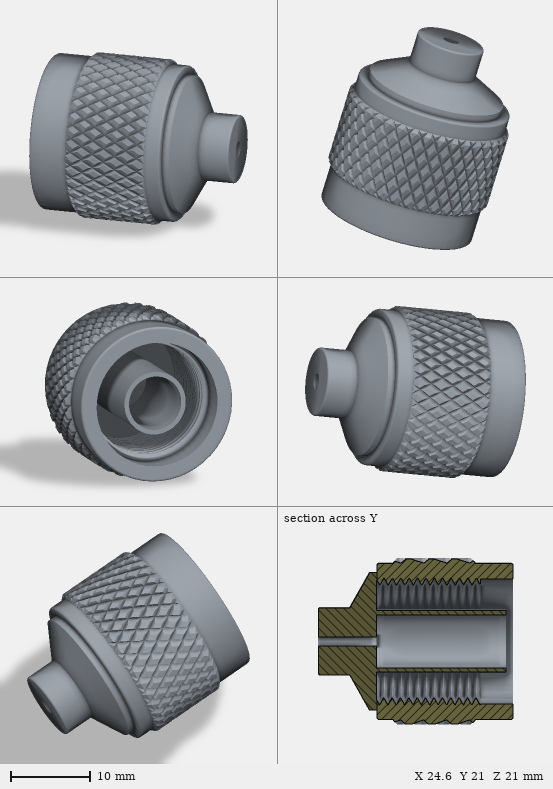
import cadquery as cq
import math


LENGTH = 24.65
FRONT = -LENGTH / 2
ORIGIN = cq.Vector(0, 0, 0)
AXIS = cq.Vector(1, 0, 0)

NUT_LENGTH = 17.25
NUT_RADIUS = 9.93
NUT_EDGE_FILLET = 0.3
BORE_RADIUS = 7.93
NUT_REAR = FRONT + NUT_LENGTH

THREAD_START = FRONT + 4.11
THREAD_PITCH = 1.05
THREAD_CREST_RADIUS = 7.2
THREAD_ROOT_RADIUS = 8.05
THREAD_CREST_WIDTH = 0.1
THREAD_TURN = 253.0
THREAD_OVERRUN = 0.25
FLANK_POINTS = 12

KNURL_START = FRONT + 4.78
KNURL_LENGTH = 10.4
KNURL_END = KNURL_START + KNURL_LENGTH
KNURL_RADIUS = 10.5
KNURL_CHAMFER = 0.52
GROOVE_COUNT = 36
GROOVE_PITCH = 360 / GROOVE_COUNT
GROOVE_ADVANCE = 2.9
KNURL_TWIST = GROOVE_PITCH * KNURL_LENGTH / GROOVE_ADVANCE
LEANING_OPENING = 5.2
SYMMETRIC_OPENING = 4.1
DIAMOND_TURN = 183.8
DIAMOND_OFFSET = 2.51
GROOVE_ROOT_RADIUS = NUT_RADIUS + 0.02
RIDGE_INNER_RADIUS = NUT_RADIUS - 0.25
RECESS_RADIUS = NUT_RADIUS - 0.12
BAND_MARGIN = 0.25
GROOVE_MARGIN = 0.37

FLANGE_RADIUS = 8.77
FLANGE_REAR = FRONT + 18.15
TAIL_START = FRONT + 20.67
TAIL_RADIUS = 4.34
TAIL_FILLET = 0.25
TUBE_FRONT = FRONT + 0.9
TUBE_RADIUS = 4.02
TUBE_BORE_RADIUS = 3.42
CENTRE_HOLE_RADIUS = 1.0


def revolved(profile):
    """Solid of revolution about X; the profile lists (x, radius) points."""
    return cq.Workplane("XZ").polyline(profile).close().revolve(360, (0, 0, 0), (1, 0, 0))


def outer_rim(solid, end):
    """The largest circular edge of one end face."""
    return solid.faces(end).edges(cq.selectors.RadiusNthSelector(-1))


def polar_point(radius, angle):
    """Point of a plane across X, with the angle in degrees from +Y."""
    direction = math.radians(angle)
    return (radius * math.cos(direction), radius * math.sin(direction))


def thread_cutter():
    """Threaded bar: its section has two spiral flanks that meet at the root, and a crest arc."""
    root_to_crest = 180 * (1 - THREAD_CREST_WIDTH / THREAD_PITCH)
    depth = THREAD_ROOT_RADIUS - THREAD_CREST_RADIUS

    def flank_point(step):
        fraction = step / FLANK_POINTS
        radius = THREAD_ROOT_RADIUS - depth * abs(fraction)
        return polar_point(radius, THREAD_TURN + root_to_crest * fraction)

    rising = [flank_point(step) for step in range(-FLANK_POINTS, 1)]
    falling = [flank_point(step) for step in range(FLANK_POINTS + 1)]
    crest_middle = polar_point(THREAD_CREST_RADIUS, THREAD_TURN + 180)
    length = NUT_REAR - THREAD_START + THREAD_OVERRUN
    return (
        cq.Workplane("YZ", origin=(THREAD_START, 0, 0))
        .spline(rising)
        .spline(falling)
        .threePointArc(crest_middle, rising[0])
        .close()
        .twistExtrude(length, 360 * length / THREAD_PITCH)
    )


def threaded_sleeve():
    """The nut with a shallow recess in place of its knurl."""
    sleeve = revolved([
        (FRONT, BORE_RADIUS),
        (FRONT, NUT_RADIUS),
        (KNURL_START, NUT_RADIUS),
        (KNURL_START, RECESS_RADIUS),
        (KNURL_END, RECESS_RADIUS),
        (KNURL_END, NUT_RADIUS),
        (NUT_REAR, NUT_RADIUS),
        (NUT_REAR, 0),
        (THREAD_START, 0),
        (THREAD_START, BORE_RADIUS),
    ])
    sleeve = outer_rim(sleeve, "<X").fillet(NUT_EDGE_FILLET)
    sleeve = outer_rim(sleeve, ">X").fillet(NUT_EDGE_FILLET)
    return sleeve.cut(thread_cutter()).val()


def twisted(section, turn, hand):
    """Twisted bar along the knurl; the section lists (radius, angle) points.

    A bar with no turn passes through the centre of the reference diamond.
    """
    start_turn = DIAMOND_TURN + turn - hand * GROOVE_PITCH * DIAMOND_OFFSET / GROOVE_ADVANCE
    points = [polar_point(radius, start_turn + angle) for radius, angle in section]
    plane = cq.Workplane("YZ", origin=(KNURL_START, 0, 0))
    return plane.polyline(points).close().twistExtrude(KNURL_LENGTH, hand * KNURL_TWIST)


def extended(flank_angle, radius):
    """Angle of a flank, which is zero at the groove root, continued to a given radius."""
    return flank_angle * (radius - GROOVE_ROOT_RADIUS) / (KNURL_RADIUS - GROOVE_ROOT_RADIUS)


def untrimmed_ridge():
    """Bar of one groove pitch, left standing between two leaning grooves.

    One flank is radial; the other slopes down to the root of the next groove.
    """
    half_pitch = GROOVE_PITCH / 2
    half_land = half_pitch - LEANING_OPENING / 2
    next_root = GROOVE_PITCH - half_land
    top_radius = KNURL_RADIUS + BAND_MARGIN
    section = [
        (RIDGE_INNER_RADIUS, -half_pitch),
        (GROOVE_ROOT_RADIUS, -half_land),
        (top_radius, -half_land),
        (top_radius, next_root - extended(LEANING_OPENING, top_radius)),
        (GROOVE_ROOT_RADIUS, next_root),
        (RIDGE_INNER_RADIUS, half_pitch),
    ]
    return twisted(section, 0, 1)


def crossing_groove(index):
    """One left-hand groove with equal flanks."""
    top_radius = KNURL_RADIUS + GROOVE_MARGIN
    half_top = extended(SYMMETRIC_OPENING / 2, top_radius)
    section = [(GROOVE_ROOT_RADIUS, 0), (top_radius, half_top), (top_radius, -half_top)]
    return twisted(section, (index + 0.5) * GROOVE_PITCH, -1)


def band_envelope():
    """Chamfered ring that bounds the knurl."""
    return revolved([
        (KNURL_START, NUT_RADIUS),
        (KNURL_START, KNURL_RADIUS - KNURL_CHAMFER),
        (KNURL_START + KNURL_CHAMFER, KNURL_RADIUS),
        (KNURL_END - KNURL_CHAMFER, KNURL_RADIUS),
        (KNURL_END, KNURL_RADIUS - KNURL_CHAMFER),
        (KNURL_END, NUT_RADIUS),
    ])


def knurl_ridge():
    """A ridge cut into diamonds by every groove that crosses it."""
    ridge = untrimmed_ridge()
    front_crossings = math.ceil(2 * DIAMOND_OFFSET / GROOVE_ADVANCE) + 1
    rear_crossings = math.ceil(2 * (KNURL_LENGTH - DIAMOND_OFFSET) / GROOVE_ADVANCE) + 1
    for index in range(-front_crossings, rear_crossings):
        ridge = ridge.cut(crossing_groove(index))
    return ridge.intersect(band_envelope()).val()


def is_full_length(face):
    return face.BoundingBox().xlen > 0.99 * KNURL_LENGTH


def knurl_skin():
    """Outer and end faces of all ridges, without the sides that neighbours share."""
    faces = [face for face in knurl_ridge().Faces() if not is_full_length(face)]
    return [
        face.rotate(ORIGIN, AXIS, index * GROOVE_PITCH)
        for index in range(GROOVE_COUNT)
        for face in faces
    ]


def sleeve_skin():
    """Faces of the sleeve without the floor and the two walls of its recess."""
    margin = 0.02

    def in_recess(face):
        box = face.BoundingBox()
        return (
            box.zmax > RECESS_RADIUS - margin
            and box.xmin > KNURL_START - margin
            and box.xmax < KNURL_END + margin
        )

    return [face for face in threaded_sleeve().Faces() if not in_recess(face)]


def coupling_nut():
    """The sleeve and the knurl, sewn along the two rims of the recess."""
    return cq.Solid.makeSolid(cq.Shell.makeShell(sleeve_skin() + knurl_skin()))


def plug_body():
    rear = FRONT + LENGTH
    body = revolved([
        (TUBE_FRONT, TUBE_BORE_RADIUS),
        (TUBE_FRONT, TUBE_RADIUS),
        (NUT_REAR, TUBE_RADIUS),
        (NUT_REAR, FLANGE_RADIUS),
        (FLANGE_REAR, FLANGE_RADIUS),
        (TAIL_START, TAIL_RADIUS),
        (rear, TAIL_RADIUS),
        (rear, CENTRE_HOLE_RADIUS),
        (NUT_REAR, CENTRE_HOLE_RADIUS),
        (NUT_REAR, TUBE_BORE_RADIUS),
    ])
    return outer_rim(body, ">X").fillet(TAIL_FILLET).val()


nut = coupling_nut()
body = plug_body()
result = cq.Compound.makeCompound([nut, body])